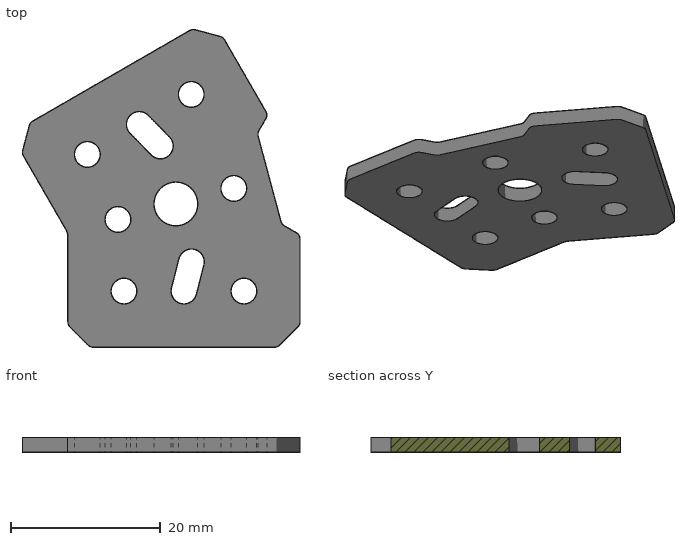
import cadquery as cq
import math


thickness = 2.0
end_width = 31.0
corner_chamfer = 3.0
corner_radius = 1.0
end_depth = 15.0
shoulder_angle = -30.0
axis_angle = 15.0
inner_waist_distance = 15.0
inner_waist_length = 0.5
outer_waist_distance = 12.95

screw_diameter = 3.4
center_diameter = 5.8
pitch_radius = 8.0
screw_spacing = 16.0
screw_inset = 7.5


def polar(radius, angle):
    """Point at the given distance and angle (degrees) from the origin."""
    radians = math.radians(angle)
    return (radius * math.cos(radians), radius * math.sin(radians))


def mirrored(point):
    """Mirror image of a point across the symmetry axis."""
    radius = math.hypot(point[0], point[1])
    angle = math.degrees(math.atan2(point[1], point[0]))
    return polar(radius, 2 * axis_angle - angle)


waist_middle = polar(-inner_waist_distance, axis_angle)
waist_half = polar(inner_waist_length / 2, axis_angle - 90)
left_x = waist_middle[0] + waist_half[0]
right_x = left_x + end_width
side_top_y = waist_middle[1] + waist_half[1]
bottom_y = side_top_y - end_depth

slot_inner = polar(pitch_radius, axis_angle - 90)
slot_outer = (left_x + end_width / 2, bottom_y + screw_inset)


def waist_corner():
    """Point where the shoulder meets the long waist edge."""
    axis = polar(1.0, axis_angle)
    along = polar(1.0, shoulder_angle)
    start_distance = right_x * axis[0] + side_top_y * axis[1]
    rate = along[0] * axis[0] + along[1] * axis[1]
    travel = (outer_waist_distance - start_distance) / rate
    return (right_x + travel * along[0], side_top_y + travel * along[1])


def make_plate():
    """Plate with every outline corner rounded."""
    lower_half = [
        (left_x, side_top_y),
        (left_x, bottom_y + corner_chamfer),
        (left_x + corner_chamfer, bottom_y),
        (right_x - corner_chamfer, bottom_y),
        (right_x, bottom_y + corner_chamfer),
        (right_x, side_top_y),
        waist_corner(),
    ]
    upper_half = [mirrored(point) for point in reversed(lower_half)]
    plate = cq.Workplane("XY").polyline(lower_half + upper_half).close().extrude(thickness)
    return plate.edges("|Z").fillet(corner_radius)


def round_cutter(points, diameter):
    """Through-cutting cylinders at the given points."""
    return cq.Workplane("XY").pushPoints(points).circle(diameter / 2).extrude(thickness)


def slot_cutter(first, second):
    """Through-cutting slot between two end centers."""
    middle = ((first[0] + second[0]) / 2, (first[1] + second[1]) / 2)
    run = second[0] - first[0]
    rise = second[1] - first[1]
    angle = math.degrees(math.atan2(rise, run))
    overall_length = math.hypot(run, rise) + screw_diameter
    sketch = cq.Workplane("XY").center(*middle).slot2D(overall_length, screw_diameter, angle)
    return sketch.extrude(thickness)


end_screws = [(slot_outer[0] + side * screw_spacing / 2, slot_outer[1]) for side in (-1, 1)]
axis_screws = [polar(side * pitch_radius, axis_angle) for side in (-1, 1)]
screws = end_screws + [mirrored(point) for point in end_screws] + axis_screws

result = make_plate()
result = result.cut(round_cutter(screws, screw_diameter))
result = result.cut(round_cutter([(0, 0)], center_diameter))
result = result.cut(slot_cutter(slot_inner, slot_outer))
result = result.cut(slot_cutter(mirrored(slot_inner), mirrored(slot_outer)))